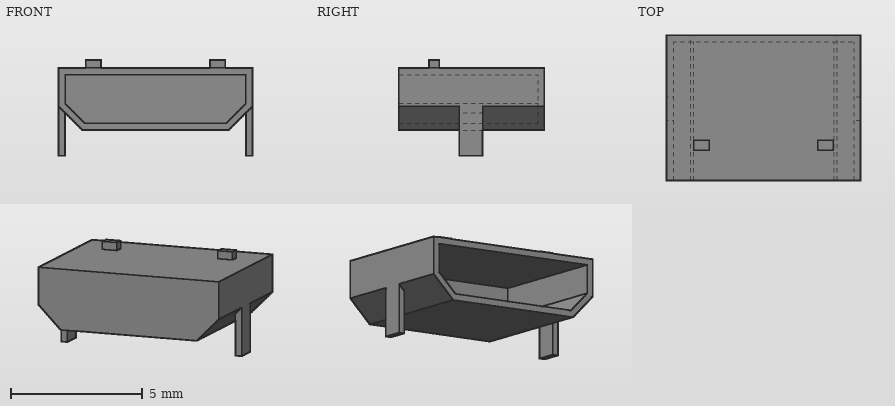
import cadquery as cq

width = 7.4
depth = 5.55
height = 2.37
wall = 0.25
corner_cut = 0.91

leg_drop = 0.985
leg_length = 0.895
leg_front = 2.3

tab_width = 0.59
tab_length = 0.39
tab_height = 0.31
tab_front = 1.155
tab_spacing = 4.735

front = -depth / 2


def make_body():
    """Solid block with both lower edges cut at 45 degrees."""
    block = cq.Workplane("XY").box(width, depth, height, centered=(True, True, False))
    return block.faces("<Z").edges("|Y").chamfer(corner_cut)


def make_leg(side):
    """Leg rising to the top of the corner cut, on the given side (-1 or 1)."""
    leg = cq.Workplane("XY").box(wall, leg_length, leg_drop + corner_cut, centered=(True, False, False))
    return leg.translate((side * (width - wall) / 2, front + leg_front, -leg_drop))


def make_tab(side):
    """Small block standing on the roof, on the given side (-1 or 1)."""
    tab = cq.Workplane("XY").box(tab_width, tab_length, tab_height, centered=(True, False, False))
    return tab.translate((side * tab_spacing / 2, front + tab_front, height))


result = make_body().faces("<Y").shell(-wall, kind="intersection")

for side in (-1, 1):
    result = result.union(make_leg(side)).union(make_tab(side))